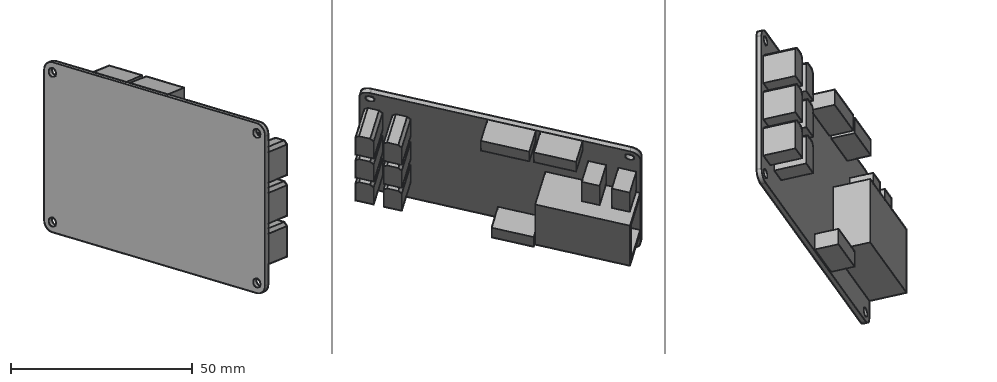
import cadquery as cq

BOARD_LENGTH = 80.0
BOARD_HEIGHT = 50.0
BOARD_THICKNESS = 1.5
CORNER_RADIUS = 3.0
HOLE_DIAMETER = 2.6
HOLE_INSET = 3.0

SOCKET_LENGTH = 27.0
SOCKET_BOTTOM = -16.5
SOCKET_HEIGHT = 21.0
SOCKET_RISE = 11.0
SOCKET_WALL = 1.5
CAVITY_HEIGHT = 17.9

HEADER_WIDTH = 5.1
HEADER_RISE = 7.0
EDGE_HEADER_SETBACK = 0.1
EDGE_HEADER_BOTTOM = BOARD_HEIGHT / 2 - EDGE_HEADER_SETBACK - HEADER_WIDTH
LOWER_HEADER_BOTTOM = -24.5
UPRIGHT_HEADER_BOTTOM = 5.0
UPRIGHT_HEADER_HEIGHT = 10.1
UPRIGHT_HEADER_STARTS = (1.1, 9.7)
EDGE_HEADER_START = 16.4
EDGE_HEADER_LENGTH = 12.0
LONG_HEADER_START = 29.7
LONG_HEADER_RISE = 7.1
LONG_HEADER_LENGTH = 13.8
LOWER_HEADER_START = 28.5
LOWER_HEADER_LENGTH = 12.0

TERMINAL_WIDTH = 5.2
TERMINAL_HEIGHT = 10.0
TERMINAL_RISE = 9.5
TERMINAL_CHAMFER = 1.0
TERMINAL_STARTS = (65.4, 73.4)
TERMINAL_PITCH = 12.0
TERMINAL_TOP = 17.0
TERMINAL_ROWS = 3


def block(left, bottom, length, height, rise):
    """Box standing on the board; left is measured from the board's left edge."""
    return cq.Workplane("XY").box(length, rise, height, centered=False).translate(
        (left - BOARD_LENGTH / 2, BOARD_THICKNESS, bottom)
    )


def make_board():
    board = (
        cq.Workplane("XY")
        .box(BOARD_LENGTH, BOARD_THICKNESS, BOARD_HEIGHT, centered=(True, False, True))
        .edges("|Y")
        .fillet(CORNER_RADIUS)
    )
    return (
        board.faces("<Y")
        .workplane(centerOption="CenterOfBoundBox")
        .rect(BOARD_LENGTH - 2 * HOLE_INSET, BOARD_HEIGHT - 2 * HOLE_INSET, forConstruction=True)
        .vertices()
        .hole(HOLE_DIAMETER)
    )


def make_socket():
    housing = block(0, SOCKET_BOTTOM, SOCKET_LENGTH, SOCKET_HEIGHT, SOCKET_RISE)
    cavity = block(
        0,
        SOCKET_BOTTOM + SOCKET_HEIGHT - SOCKET_WALL - CAVITY_HEIGHT,
        SOCKET_LENGTH - SOCKET_WALL,
        CAVITY_HEIGHT,
        SOCKET_RISE - SOCKET_WALL,
    )
    return housing.cut(cavity)


def make_terminal(left, top):
    body = block(left, top - TERMINAL_HEIGHT, TERMINAL_WIDTH, TERMINAL_HEIGHT, TERMINAL_RISE)
    return body.faces(">Z").edges("|Y").chamfer(TERMINAL_CHAMFER)


def make_headers():
    headers = [
        block(EDGE_HEADER_START, EDGE_HEADER_BOTTOM, EDGE_HEADER_LENGTH, HEADER_WIDTH, HEADER_RISE),
        block(LONG_HEADER_START, EDGE_HEADER_BOTTOM, LONG_HEADER_LENGTH, HEADER_WIDTH, LONG_HEADER_RISE),
        block(LOWER_HEADER_START, LOWER_HEADER_BOTTOM, LOWER_HEADER_LENGTH, HEADER_WIDTH, HEADER_RISE),
    ]
    for start in UPRIGHT_HEADER_STARTS:
        headers.append(
            block(start, UPRIGHT_HEADER_BOTTOM, HEADER_WIDTH, UPRIGHT_HEADER_HEIGHT, HEADER_RISE)
        )
    return headers


def make_terminals():
    terminals = []
    for start in TERMINAL_STARTS:
        for row in range(TERMINAL_ROWS):
            terminals.append(make_terminal(start, TERMINAL_TOP - row * TERMINAL_PITCH))
    return terminals


result = make_board().union(make_socket())
for component in make_headers() + make_terminals():
    result = result.union(component)